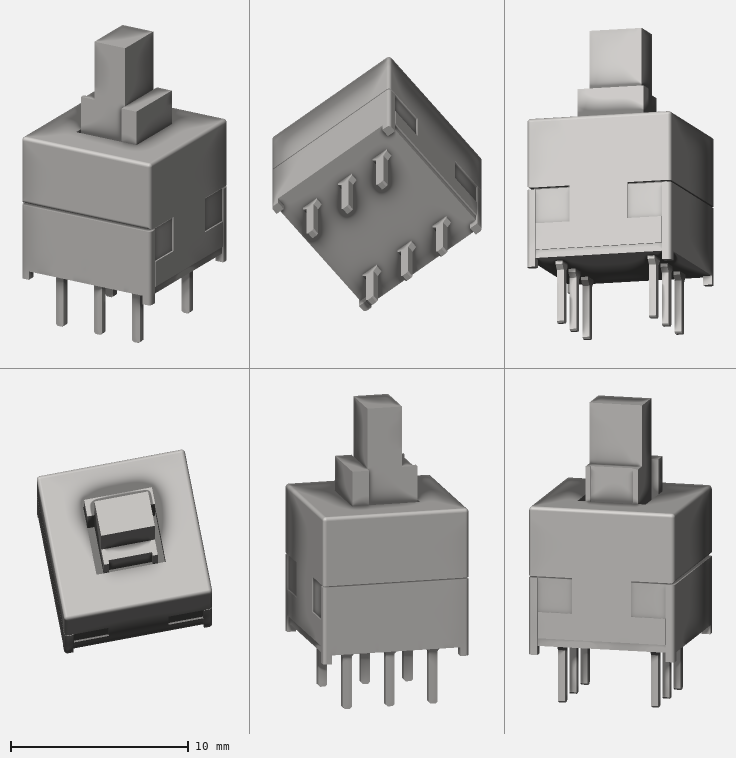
import cadquery as cq

TOTAL_HEIGHT = 17.0
FOOT_BOTTOM = 3.0
BASE_BOTTOM = 3.5
BASE_TOP = 7.43
COVER_BOTTOM = 7.53
COVER_TOP = 11.51
PLUNGER_SHOULDER = 13.5

HOUSING_SIDE = 8.5
EDGE_RADIUS = 0.2
CORE_INSET = 0.34
FOOT_SIDE = 0.51

RECESS_DEPTH = 0.1
LATCH_STEM_WIDTH = 3.42
LATCH_BAR_GAP = 0.03
LATCH_BAR_BOTTOM = 3.96
LATCH_BAR_TOP = 5.47

OPENING_SIDE = 3.98
OPENING_DEPTH = 1.02
PLUNGER_SIDE = 3.9
WEB_WIDTH = 3.08
STEM_LEFT = -1.05
STEM_RIGHT = 0.97
GROOVE_WIDTH = 2.5
GROOVE_DEPTH = 0.2
GROOVE_BOTTOM = 11.0

PIN_PITCH = 2.5
PIN_ROW_SPACING = 5.42
PIN_WIDTH = 0.51
PIN_THICKNESS = 0.4
PIN_HEAD_WIDTH = 1.02
PIN_HEAD_BOTTOM = 3.32
PIN_NECK_TOP = 3.03
PIN_TIP_CHAMFER = 0.1

HALF_SIDE = HOUSING_SIDE / 2
RECESS_WIDTH = HOUSING_SIDE - 2 * FOOT_SIDE


def block(x_range, y_range, z_range):
    """Box spanning the given (low, high) range along each axis."""
    size = [high - low for low, high in (x_range, y_range, z_range)]
    corner = (x_range[0], y_range[0], z_range[0])
    return cq.Workplane("XY").box(*size, centered=False).translate(corner)


def centered_block(x_size, y_size, z_range):
    """Box centred on the Z axis."""
    return block((-x_size / 2, x_size / 2), (-y_size / 2, y_size / 2), z_range)


def both_x_sides(shape):
    return shape.union(shape.mirror("YZ"))


def make_base():
    base = centered_block(HOUSING_SIDE, HOUSING_SIDE, (FOOT_BOTTOM, BASE_TOP)).edges("|Z").fillet(EDGE_RADIUS)

    foot_range = (FOOT_BOTTOM, BASE_BOTTOM)
    base = base.cut(centered_block(RECESS_WIDTH, HOUSING_SIDE, foot_range))
    base = base.cut(centered_block(HOUSING_SIDE, RECESS_WIDTH, foot_range))

    recess = block(
        (-HALF_SIDE, -HALF_SIDE + RECESS_DEPTH),
        (-RECESS_WIDTH / 2, RECESS_WIDTH / 2),
        (BASE_BOTTOM, BASE_TOP),
    )
    return base.cut(both_x_sides(recess))


def make_cover():
    height_range = (COVER_BOTTOM, COVER_TOP)
    cover = centered_block(HOUSING_SIDE, HOUSING_SIDE, height_range)
    cover = cover.edges("|Z or >Z").fillet(EDGE_RADIUS)

    rounded_edge = centered_block(HOUSING_SIDE, HOUSING_SIDE, height_range)
    rounded_edge = rounded_edge.edges("<Y and <Z").fillet(EDGE_RADIUS)
    cover = cover.intersect(rounded_edge)

    opening = centered_block(OPENING_SIDE, OPENING_SIDE, (COVER_TOP - OPENING_DEPTH, COVER_TOP))
    return cover.cut(opening)


def make_core():
    side = HOUSING_SIDE - 2 * CORE_INSET
    return centered_block(side, side, (BASE_TOP, COVER_BOTTOM))


def make_latches():
    """Inverted-T plates hanging from the cover on the two X faces."""
    x_range = (-HALF_SIDE, -HALF_SIDE + RECESS_DEPTH)
    half_stem = LATCH_STEM_WIDTH / 2
    half_bar = RECESS_WIDTH / 2 - LATCH_BAR_GAP
    stem = block(x_range, (-half_stem, half_stem), (LATCH_BAR_BOTTOM, COVER_BOTTOM))
    bar = block(x_range, (-half_bar, half_bar), (LATCH_BAR_BOTTOM, LATCH_BAR_TOP))
    return both_x_sides(stem.union(bar))


def make_plunger():
    bottom = COVER_TOP - OPENING_DEPTH
    half_side = PLUNGER_SIDE / 2
    half_web = WEB_WIDTH / 2
    half_groove = GROOVE_WIDTH / 2
    shoulder_range = (bottom, PLUNGER_SHOULDER)

    stem = block((STEM_LEFT, STEM_RIGHT), (-half_web, half_web), (bottom, TOTAL_HEIGHT))
    shoulder = block((-half_side, STEM_LEFT), (-half_web, half_web), shoulder_range)
    flange = block((STEM_RIGHT, half_side), (-half_side, half_side), shoulder_range)
    groove = block(
        (-half_side, -half_side + GROOVE_DEPTH),
        (-half_groove, half_groove),
        (GROOVE_BOTTOM, PLUNGER_SHOULDER),
    )
    return stem.union(shoulder.cut(groove)).union(flange)


def make_pin(x, y):
    half_width = PIN_WIDTH / 2
    half_head = PIN_HEAD_WIDTH / 2
    half_tip = half_width - PIN_TIP_CHAMFER
    right_side = [
        (half_tip, 0),
        (half_width, PIN_TIP_CHAMFER),
        (half_width, PIN_NECK_TOP),
        (half_head, PIN_HEAD_BOTTOM),
        (half_head, BASE_BOTTOM),
    ]
    left_side = [(-px, pz) for px, pz in reversed(right_side)]
    outline = cq.Workplane("XZ").polyline(right_side + left_side).close()
    return outline.extrude(PIN_THICKNESS / 2, both=True).translate((x, y, 0))


result = make_base().union(make_core()).union(make_cover()).union(make_latches()).union(make_plunger())
for pin_x in (-PIN_PITCH, 0, PIN_PITCH):
    for pin_y in (-PIN_ROW_SPACING / 2, PIN_ROW_SPACING / 2):
        result = result.union(make_pin(pin_x, pin_y))